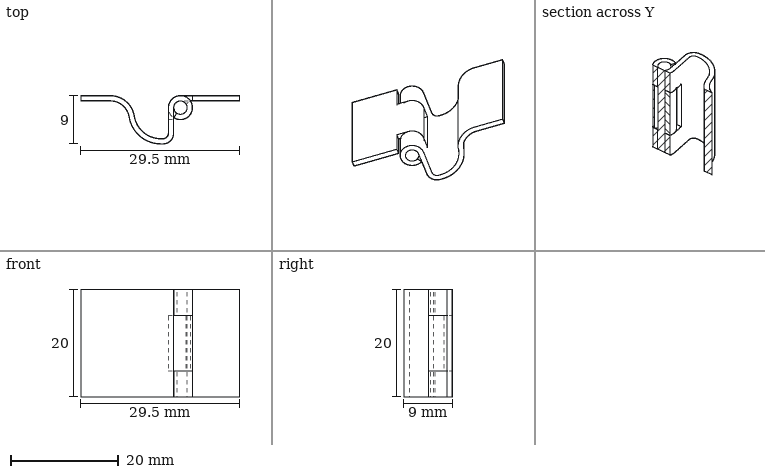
import cadquery as cq
import math


length = 29.5
height = 20.0
depth = 9.0
thickness = 1.0
pin_radius = 1.25
pin_to_left_end = 18.5
end_knuckle_height = 4.87
curl_sweep = 303.0
rear_bend_inner = 3.5
front_bend_outer = 6.0
corner_outer = 2.0
front_flat = 0.38

knuckle_radius = pin_radius + thickness
back_y = knuckle_radius
front_y = back_y - depth
left_x = -pin_to_left_end
right_x = left_x + length
middle_knuckle_height = height - 2 * end_knuckle_height
rear_bend_outer = rear_bend_inner + thickness
front_bend_inner = front_bend_outer - thickness
corner_inner = corner_outer - thickness

corner_center = (-pin_radius - corner_outer, front_y + corner_outer)
front_center = (corner_center[0] - front_flat, front_y + front_bend_outer)
bend_distance = rear_bend_inner + front_bend_outer
bend_rise = front_center[1] - (back_y - rear_bend_outer)
bend_run = math.sqrt(bend_distance**2 - bend_rise**2)
rear_center = (front_center[0] - bend_run, back_y - rear_bend_outer)
meeting_angle = math.degrees(math.atan2(bend_rise, bend_run))


def polar(center, radius, angle):
    """Point at an angle in degrees on a circle."""
    turn = math.radians(angle)
    return (center[0] + radius * math.cos(turn), center[1] + radius * math.sin(turn))


def add_arc(sketch, center, radius, start, end):
    """Continue an outline along an arc from its start angle to its end angle."""
    middle = polar(center, radius, (start + end) / 2)
    return sketch.threePointArc(middle, polar(center, radius, end))


def curl(start, sweep):
    """Full-height sheet rolled round the pin, ending in a radial face."""
    axis = (0, 0)
    end = start + sweep
    outline = cq.Workplane("XY").moveTo(*polar(axis, knuckle_radius, start))
    outline = add_arc(outline, axis, knuckle_radius, start, end)
    outline = outline.lineTo(*polar(axis, pin_radius, end))
    outline = add_arc(outline, axis, pin_radius, end, start)
    return outline.close().extrude(height)


def knuckle_space(bottom, space_height):
    """Square block that clears room for a knuckle of the other leaf."""
    side = 2 * knuckle_radius
    return cq.Workplane("XY").workplane(offset=bottom).rect(side, side).extrude(space_height)


def bent_sheet():
    """Left plate, S-shaped bend, tight corner and straight wall up to the pin."""
    front_meeting = 180 + meeting_angle
    outline = cq.Workplane("XY").moveTo(left_x, back_y).lineTo(rear_center[0], back_y)
    outline = add_arc(outline, rear_center, rear_bend_outer, 90, meeting_angle)
    outline = add_arc(outline, front_center, front_bend_inner, front_meeting, 270)
    outline = outline.lineTo(corner_center[0], front_y + thickness)
    outline = add_arc(outline, corner_center, corner_inner, 270, 360)
    outline = outline.lineTo(-knuckle_radius, 0).lineTo(-pin_radius, 0)
    outline = outline.lineTo(-pin_radius, corner_center[1])
    outline = add_arc(outline, corner_center, corner_outer, 360, 270)
    outline = outline.lineTo(front_center[0], front_y)
    outline = add_arc(outline, front_center, front_bend_outer, 270, front_meeting)
    outline = add_arc(outline, rear_center, rear_bend_inner, meeting_angle, 90)
    return outline.lineTo(left_x, back_y - thickness).close().extrude(height)


def make_bent_leaf():
    """Leaf with the two end knuckles and a gap between them."""
    leaf = bent_sheet().union(curl(180, -curl_sweep))
    return leaf.cut(knuckle_space(end_knuckle_height, middle_knuckle_height))


def make_flat_leaf():
    """Straight plate with the middle knuckle."""
    plate = cq.Workplane("XY").box(right_x, thickness, height, centered=False)
    plate = plate.translate((0, back_y - thickness, 0))
    leaf = plate.union(curl(90, curl_sweep))
    for bottom in (0, height - end_knuckle_height):
        leaf = leaf.cut(knuckle_space(bottom, end_knuckle_height))
    return leaf


def make_pin():
    """Plain pin, flush with both ends of the hinge."""
    return cq.Workplane("XY").circle(pin_radius).extrude(height)


bent_leaf = make_bent_leaf()
flat_leaf = make_flat_leaf()
pin = make_pin()

result = cq.Compound.makeCompound([bent_leaf.solids().val(), flat_leaf.solids().val(), pin.val()])